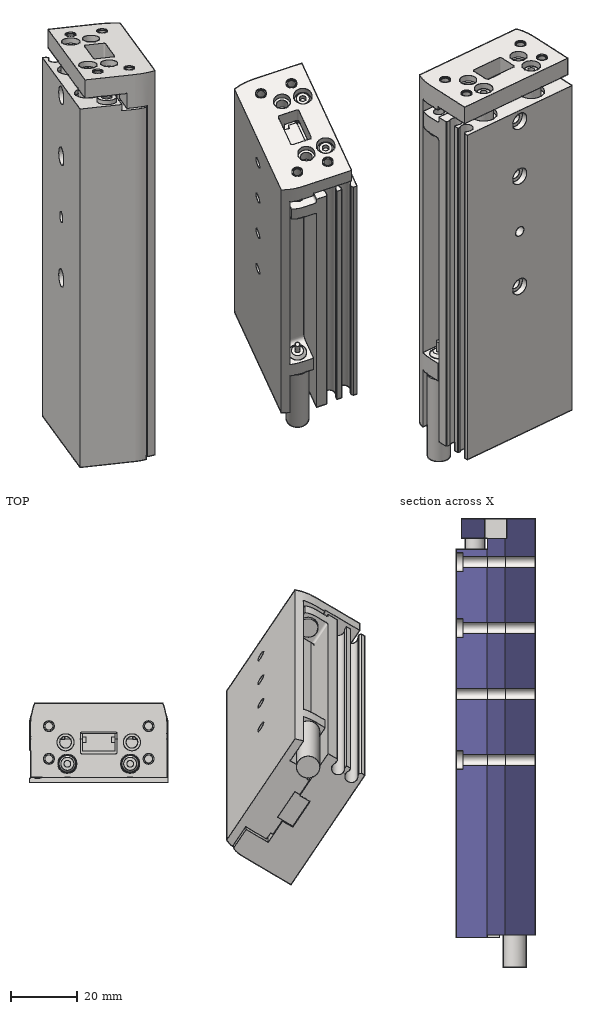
import cadquery as cq


length = 135.8
width = 42.0
height = 24.0
half_width = width / 2

housing_bottom = 9.0
housing_top = 126.5
ledge_y = 13.2
stop_block_bottom = 118.8
stop_block_top = 124.5
stop_block_back = 21.0
stop_block_back_half_width = 20.2
stop_block_fillet = 0.8
selection_margin = 0.1
shoulder_y = 17.5
ridge_inset = 0.4

groove_diameter = 4.0
groove_center_x = -18.5
front_groove_y = 3.3
front_groove_neck = 3.0
front_groove_chamfer = 0.5
back_groove_y = 8.0
back_groove_neck = 3.3
back_groove_chamfer = 0.3

mount_hole_diameter = 3.3
mount_bore_diameter = 5.5
mount_bore_depth = 2.0
mount_hole_pitch = 20.0
mount_hole_top_z = 122.6
mount_hole_count = 4
plain_mount_hole = 2

bumper_diameter = 6.0
bumper_height = 1.4
bumper_stud_diameter = 3.3
bumper_stud_height = 0.5
front_bumper_y = 9.5

table_half_width = 20.6
table_top_half_width = 19.4
table_bottom = 9.8
table_back_thickness = 2.6
table_front_y = 14.0
plate_front_y = 1.6
plate_bottom = 129.8
core_half_width = 12.6
core_rib_half_width = 10.3
pocket_top = 128.6
pocket_bottom = 36.8
pocket_fillet = 1.4
carrier_bottom = 30.4
wall_clearance = 0.4
wall_recess = 0.8

tapped_hole_diameter = 3.3
tapped_core_diameter = 2.5
tapped_countersink_depth = 0.4
tapped_hole_depth = 4.1
tapped_hole_x = 15.1
tapped_hole_ys = (7.2, 17.1)
screw_x = 10.0
screw_y = 12.2
screw_bore_diameter = 5.2
screw_bore_depth = 2.0
screw_hole_diameter = 3.5
window_half_width = 5.5
window_front_y = 8.7
window_back_y = 15.3
window_corner_radius = 0.5

rail_half_width = 4.9
rail_front_y = 9.5
rail_back_y = 15.0
rail_groove_front_y = 12.2
rail_groove_back_y = 13.9
rail_groove_depth = 1.1
rail_groove_bottom = 30.4

rod_x = 9.5
rod_y = 5.7
rod_diameter = 6.0
rod_bottom = 113.3
rod_bore_diameter = 8.0
rod_bore_depth = 1.4
rod_head_diameter = 5.0
rod_head_chamfer = 0.5
rod_head_top = 134.5
rod_socket_diameter = 2.0
rod_socket_depth = 1.6
rod_plate_hole_diameter = 5.5

adjuster_x = -17.0
adjuster_y = 17.8
adjuster_diameter = 7.0
adjuster_chamfer = 0.7
adjuster_neck_diameter = 5.5
adjuster_neck_chamfer = 1.0
adjuster_neck_top = 37.9
adjuster_pin_diameter = 1.5
adjuster_pin_top = 41.4


def box(x0, x1, y0, y1, z0, z1):
    """Box between two opposite corners."""
    return cq.Workplane("XY").box(x1 - x0, y1 - y0, z1 - z0, centered=False).translate((x0, y0, z0))


def cylinder(x, y, z0, z1, diameter):
    """Upright cylinder between two heights."""
    return cq.Workplane("XY").center(x, y).circle(diameter / 2).extrude(z1 - z0).translate((0, 0, z0))


def cross_hole(z, y0, y1, diameter):
    """Cylinder along Y on the middle plane."""
    return cq.Workplane("XZ", origin=(0, y0, z)).circle(diameter / 2).extrude(y0 - y1)


def shouldered_prism(half, top_half, y0, y1, z0, z1):
    """Prism whose flat sides curve inwards behind the shoulder; the arc starts tangent to the side."""
    side_fall = half - top_half
    arc_rise = y1 - shoulder_y
    arc_radius = (arc_rise**2 + side_fall**2) / (2 * side_fall)
    middle_y = shoulder_y + arc_rise / 2
    middle_x = half - arc_radius + (arc_radius**2 - (arc_rise / 2) ** 2) ** 0.5
    outline = (
        cq.Workplane("XY")
        .moveTo(-half, y0)
        .lineTo(half, y0)
        .lineTo(half, shoulder_y)
        .threePointArc((middle_x, middle_y), (top_half, y1))
        .lineTo(-top_half, y1)
        .threePointArc((-middle_x, middle_y), (-half, shoulder_y))
        .close()
    )
    return outline.extrude(z1 - z0).translate((0, 0, z0))


def mount_hole_zs():
    """Heights of the mounting holes, from the top one down."""
    return [mount_hole_top_z - i * mount_hole_pitch for i in range(mount_hole_count)]


def sensor_groove(y, neck):
    """Round channel with a neck that opens it to the -X side."""
    channel = cylinder(groove_center_x, y, housing_bottom, housing_top, groove_diameter)
    opening = box(-half_width, groove_center_x, y - neck / 2, y + neck / 2, housing_bottom, housing_top)
    return channel.union(opening)


def groove_lead_in(y, neck, chamfer):
    """Flared entry of a groove neck."""
    outline = [
        (-half_width, y - neck / 2 - chamfer),
        (-half_width, y + neck / 2 + chamfer),
        (-half_width + chamfer, y + neck / 2),
        (-half_width + chamfer, y - neck / 2),
    ]
    flare = cq.Workplane("XY").polyline(outline).close().extrude(housing_top - housing_bottom)
    return flare.translate((0, 0, housing_bottom))


def bumper(x, y, z, direction):
    """Round pad on a face at height z, facing up (1) or down (-1)."""
    pad = cq.Workplane("XY", origin=(x, y, z)).circle(bumper_diameter / 2)
    return pad.extrude(direction * bumper_height)


def make_rail_blank(z0, z1):
    """Rail section without its side grooves, used for the rail and its seats."""
    return box(-rail_half_width, rail_half_width, rail_front_y, rail_back_y, z0, z1)


def make_housing():
    body = box(-half_width, half_width, 0, ledge_y, housing_bottom, housing_top)

    inner_x = core_half_width + wall_clearance
    block = shouldered_prism(
        half_width, stop_block_back_half_width, 0, stop_block_back, stop_block_bottom, stop_block_top
    ).intersect(box(-half_width, -inner_x, 0, height, 0, length))
    wall = shouldered_prism(
        half_width, stop_block_back_half_width, 0, stop_block_back, housing_bottom, stop_block_top
    ).intersect(box(inner_x, half_width, 0, height, 0, length))
    body = body.union(block).union(wall)

    block_foot = cq.selectors.BoxSelector(
        (-half_width, ledge_y - selection_margin, stop_block_bottom - selection_margin),
        (-inner_x, ledge_y + selection_margin, stop_block_top + selection_margin),
    )
    body = body.edges(block_foot).edges("|X").fillet(stop_block_fillet)

    body = body.cut(sensor_groove(front_groove_y, front_groove_neck))
    body = body.cut(groove_lead_in(front_groove_y, front_groove_neck, front_groove_chamfer))
    body = body.cut(sensor_groove(back_groove_y, back_groove_neck))
    body = body.cut(groove_lead_in(back_groove_y, back_groove_neck, back_groove_chamfer))
    ridge_x = -half_width + ridge_inset
    body = body.cut(box(-half_width, ridge_x, front_groove_y, back_groove_y, housing_bottom, housing_top))

    for x in (-rod_x, rod_x):
        body = body.cut(cylinder(x, rod_y, rod_bottom, housing_top, rod_diameter))
        body = body.cut(cylinder(x, rod_y, housing_top - rod_bore_depth, housing_top, rod_bore_diameter))

    body = body.cut(make_rail_blank(housing_bottom, housing_top))

    for i, z in enumerate(mount_hole_zs()):
        body = body.cut(cross_hole(z, 0, height, mount_hole_diameter))
        if i != plain_mount_hole:
            body = body.cut(cross_hole(z, 0, mount_bore_depth, mount_bore_diameter))

    body = body.union(bumper(adjuster_x, adjuster_y, stop_block_bottom, -1))
    bore_bottom = (stop_block_bottom + stop_block_top) / 2
    body = body.cut(cylinder(adjuster_x, adjuster_y, bore_bottom, stop_block_top, bumper_stud_diameter))
    body = body.union(bumper(-adjuster_x, front_bumper_y, housing_top, 1))
    pad_top = housing_top + bumper_height
    stud_top = pad_top + bumper_stud_height
    return body.union(cylinder(-adjuster_x, front_bumper_y, pad_top, stud_top, bumper_stud_diameter))


def make_rail():
    rail = make_rail_blank(table_bottom, plate_bottom)
    for side in (-1, 1):
        outer_x = side * rail_half_width
        inner_x = side * (rail_half_width - rail_groove_depth)
        rail = rail.cut(
            box(
                min(outer_x, inner_x), max(outer_x, inner_x),
                rail_groove_front_y, rail_groove_back_y, rail_groove_bottom, plate_bottom,
            )
        )
    for z in mount_hole_zs():
        rail = rail.cut(cross_hole(z, 0, height, mount_hole_diameter))
    return rail


def make_table():
    back_inner_y = height - table_back_thickness
    blank = shouldered_prism(
        table_half_width, table_top_half_width, plate_front_y, height, table_bottom, length
    )

    table = blank.cut(box(-half_width, half_width, 0, table_front_y, 0, plate_bottom))

    rib = box(-core_rib_half_width, core_rib_half_width, ledge_y, table_front_y, table_bottom, plate_bottom)
    table = table.union(rib)

    pocket = box(-half_width, -core_half_width, 0, back_inner_y, pocket_bottom, pocket_top)
    table = table.cut(pocket.edges("|Y and >X").fillet(pocket_fillet))
    table = table.cut(box(-half_width, -core_half_width, 0, back_inner_y, 0, carrier_bottom))

    right_top = stop_block_top + wall_clearance
    table = table.cut(box(core_half_width, half_width, 0, back_inner_y, 0, right_top))

    recess_back = table_front_y + wall_recess
    table = table.cut(box(core_half_width, half_width, table_front_y, recess_back, 0, plate_bottom))

    table = table.cut(make_rail_blank(table_bottom, plate_bottom))
    table = table.cut(
        box(-window_half_width, window_half_width, ledge_y, rail_back_y, carrier_bottom, plate_bottom)
    )
    window = box(
        -window_half_width, window_half_width, window_front_y, window_back_y, plate_bottom, length
    )
    table = table.cut(window.edges("|Z").fillet(window_corner_radius))

    for side in (-1, 1):
        for y in tapped_hole_ys:
            x = side * tapped_hole_x
            table = table.cut(cylinder(x, y, length - tapped_hole_depth, length, tapped_core_diameter))
            rim_bottom = length - tapped_countersink_depth
            table = table.cut(cylinder(x, y, rim_bottom, length, tapped_hole_diameter))
        x = side * screw_x
        table = table.cut(cylinder(x, screw_y, length - screw_bore_depth, length, screw_bore_diameter))
        table = table.cut(cylinder(x, screw_y, plate_bottom, length, screw_hole_diameter))
        table = table.cut(cylinder(side * rod_x, rod_y, plate_bottom, length, rod_plate_hole_diameter))

    adjuster_hole = cylinder(adjuster_x, adjuster_y, carrier_bottom, pocket_bottom, adjuster_neck_diameter)
    table = table.cut(adjuster_hole)
    for z in mount_hole_zs():
        table = table.cut(cross_hole(z, 0, height, mount_hole_diameter))
    return table


def make_rod(x):
    shaft = cylinder(x, rod_y, rod_bottom, plate_bottom, rod_diameter)
    head = cylinder(x, rod_y, plate_bottom, rod_head_top, rod_head_diameter)
    head = head.faces(">Z").edges().chamfer(rod_head_chamfer)
    rod = shaft.union(head)
    return rod.cut(cylinder(x, rod_y, rod_head_top - rod_socket_depth, rod_head_top, rod_socket_diameter))


def make_adjuster():
    body = cylinder(adjuster_x, adjuster_y, 0, carrier_bottom, adjuster_diameter)
    body = body.faces(">Z").edges().chamfer(adjuster_chamfer)
    neck = cylinder(adjuster_x, adjuster_y, carrier_bottom, adjuster_neck_top, adjuster_neck_diameter)
    neck = neck.faces(">Z").edges().chamfer(adjuster_neck_chamfer)
    pin = cylinder(adjuster_x, adjuster_y, adjuster_neck_top, adjuster_pin_top, adjuster_pin_diameter)
    return body.union(neck).union(pin)


housing = make_housing()
rail = make_rail()
table = make_table()
rods = [make_rod(x) for x in (-rod_x, rod_x)]
adjuster = make_adjuster()

bodies = [housing, rail, table, *rods, adjuster]
result = cq.Compound.makeCompound([body.solids().val() for body in bodies])